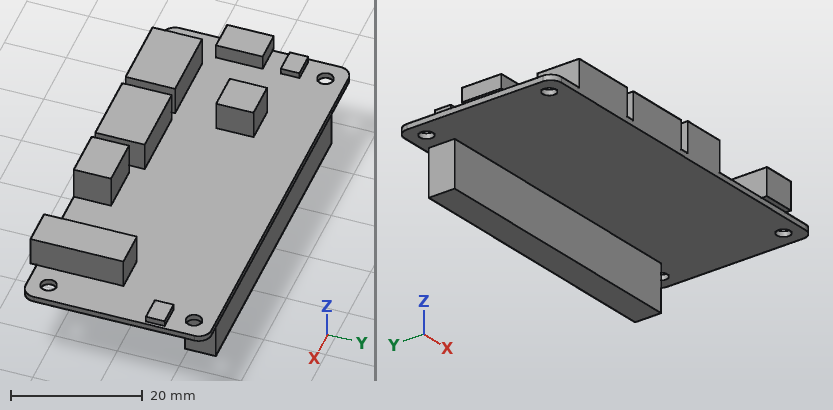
import cadquery as cq

TOTAL_LENGTH = 65.5
TOTAL_WIDTH = 31.0
SIDE_OVERHANG = 0.5
FRONT_OVERHANG = 1.0
BOARD_LENGTH = TOTAL_LENGTH - SIDE_OVERHANG
BOARD_WIDTH = TOTAL_WIDTH - FRONT_OVERHANG
BOARD_THICKNESS = 1.0
CORNER_RADIUS = 2.0
HOLE_DIAMETER = 2.5
HOLE_INSET = 3.3

TALL_HEIGHT = 5.5
STANDARD_HEIGHT = 5.0
SIDE_CONNECTOR_HEIGHT = 2.5
BUTTON_HEIGHT = 1.0

TWIN_LENGTH = 12.0
TWIN_DEPTH = 8.0
TWIN_STARTS = (6.5, 20.0)

TALL_START = 33.55
TALL_LENGTH = 8.0
TALL_DEPTH = 6.0

LONG_START = 52.0
LONG_LENGTH = 6.0
LONG_DEPTH = 15.0

SIDE_START_Y = 9.5
SIDE_LENGTH = 5.0
SIDE_DEPTH = 7.5

CHIP_X = 13.5
CHIP_Y = 15.0
CHIP_SIZE = 6.0

BUTTON_INSET = 0.5
BUTTON_Y = 20.0
BUTTON_LENGTH = 4.0
BUTTON_DEPTH = 3.0

HEADER_START = 6.8
HEADER_LENGTH = 51.5
HEADER_DEPTH = 5.0
HEADER_BACK_INSET = 1.0
HEADER_HEIGHT = 8.5


def make_board():
    center = (BOARD_LENGTH / 2, BOARD_WIDTH / 2)
    return (
        cq.Workplane("XY", origin=(0, 0, -BOARD_THICKNESS))
        .center(*center)
        .rect(BOARD_LENGTH, BOARD_WIDTH)
        .extrude(BOARD_THICKNESS)
        .edges("|Z")
        .fillet(CORNER_RADIUS)
        .faces(">Z")
        .workplane(origin=(*center, 0))
        .rect(BOARD_LENGTH - 2 * HOLE_INSET, BOARD_WIDTH - 2 * HOLE_INSET, forConstruction=True)
        .vertices()
        .hole(HOLE_DIAMETER)
    )


def block(x, y, length, depth, height, z=0):
    """Box with its lowest corner at (x, y, z)."""
    return cq.Workplane("XY", origin=(x, y, z)).box(length, depth, height, centered=False)


def make_front_connectors():
    connectors = block(TALL_START, 0, TALL_LENGTH, TALL_DEPTH, TALL_HEIGHT)
    for start in TWIN_STARTS:
        connectors = connectors.add(block(start, 0, TWIN_LENGTH, TWIN_DEPTH, STANDARD_HEIGHT))
    long_connector = block(LONG_START, -FRONT_OVERHANG, LONG_LENGTH, LONG_DEPTH, STANDARD_HEIGHT)
    return connectors.add(long_connector)


def make_buttons():
    right_start = BOARD_LENGTH - BUTTON_INSET - BUTTON_LENGTH
    buttons = cq.Workplane("XY")
    for start in (BUTTON_INSET, right_start):
        buttons = buttons.add(block(start, BUTTON_Y, BUTTON_LENGTH, BUTTON_DEPTH, BUTTON_HEIGHT))
    return buttons


def make_header():
    front = BOARD_WIDTH - HEADER_BACK_INSET - HEADER_DEPTH
    bottom = -BOARD_THICKNESS - HEADER_HEIGHT
    return block(HEADER_START, front, HEADER_LENGTH, HEADER_DEPTH, HEADER_HEIGHT, bottom)


side_connector = block(-SIDE_OVERHANG, SIDE_START_Y, SIDE_LENGTH, SIDE_DEPTH, SIDE_CONNECTOR_HEIGHT)
chip = block(CHIP_X, CHIP_Y, CHIP_SIZE, CHIP_SIZE, STANDARD_HEIGHT)

result = make_board()
for group in (make_front_connectors(), side_connector, chip, make_buttons(), make_header()):
    for component in group.vals():
        result = result.union(cq.Workplane(component))